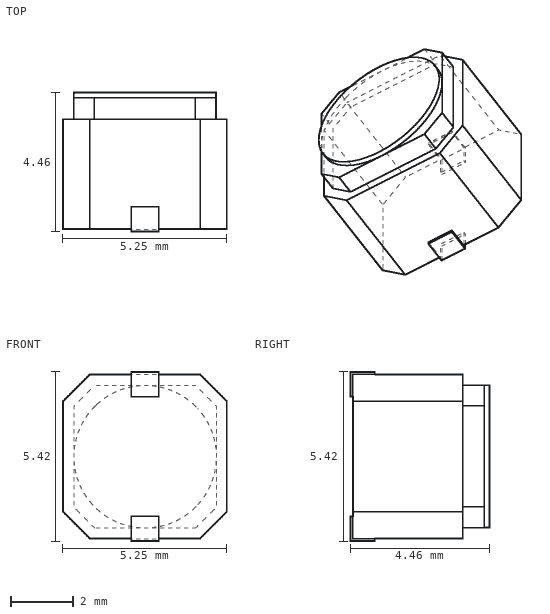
import cadquery as cq

total_height = 5.42
total_depth = 4.46

body_side = 5.25
body_depth = 3.52
body_chamfer = 0.86

step_side = 4.565
step_chamfer = 0.665
disc_thickness = 0.175

terminal_width = 0.89
terminal_leg = 0.79
terminal_thickness = (total_height - body_side) / 2

step_depth = total_depth - terminal_thickness - body_depth - disc_thickness


def chamfered_block(side, depth, chamfer, front_y):
    """Square block running from front_y toward +Y, its four long edges chamfered."""
    block = cq.Workplane("XY").box(side, depth, side, centered=(True, False, True))
    return block.edges("|Y").chamfer(chamfer).translate((0, front_y, 0))


def top_terminal():
    """L-shaped strip lying on the top and front faces of the body."""
    top = total_height / 2
    front = -terminal_thickness
    outline = (
        cq.Workplane("YZ")
        .moveTo(front, top)
        .lineTo(front + terminal_leg, top)
        .lineTo(front + terminal_leg, body_side / 2)
        .lineTo(0, body_side / 2)
        .lineTo(0, top - terminal_leg)
        .lineTo(front, top - terminal_leg)
        .close()
    )
    return outline.extrude(terminal_width / 2, both=True)


body = chamfered_block(body_side, body_depth, body_chamfer, 0)
step = chamfered_block(step_side, step_depth, step_chamfer, body_depth)

disc = (
    cq.Workplane("XZ", origin=(0, body_depth + step_depth, 0))
    .circle(step_side / 2)
    .extrude(-disc_thickness)
)

terminal = top_terminal()
result = body.union(step).union(disc).union(terminal).union(terminal.mirror("XY"))